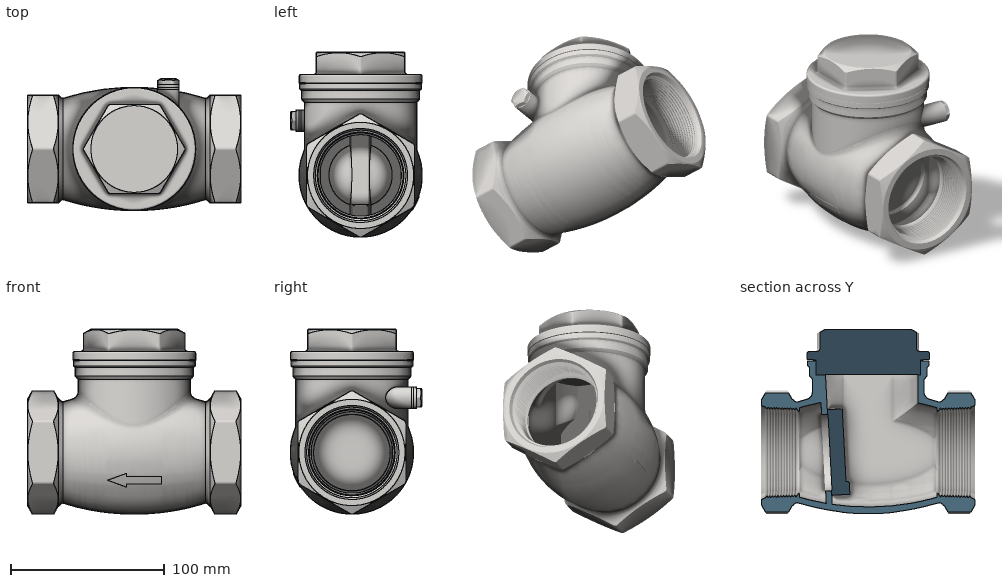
import cadquery as cq
import math


length = 139.1
end_x = length / 2
belly_r = 40.2
belly_edge_r = 33.0
belly_edge_x = 46.5

chamfer_angle = 30.0
end_hex_flats = 70.1
end_hex_length = 20.3
end_hex_corner_fillet = 2.1
end_face_dia = 69.1
end_root_fillet = 2.2

thread_pitch = 1.8
thread_turns = 12
thread_depth = 1.3
thread_mouth_r = 29.5
thread_taper = 1 / 32
mouth_r = 30.6
mouth_depth = 2.6
port_r = 26.5
port_length = 0.7

neck_r = 36.6
neck_bore_r = 65.0 / 2
neck_fillet = 4.7
collar_r = 38.5
collar_start_z = 47.6
collar_z = 49.7
rim_start_z = 55.4
rim_r = 39.8
rim_z = 56.3
rim_top_z = 59.8

seat_x = 25.0
seat_thickness = 4.2
seat_bore_r = 50.0 / 2
seat_lean = 3.0

chamber_start_x = mouth_depth + thread_turns * thread_pitch + port_length - end_x
chamber_r = 35.5
chamber_edge_r = 29.2
chamber_half_width = 28.2
chamber_edge_fillet = 2.1

gasket_thickness = 0.4
gasket_r = 72.0 / 2
spigot_r = 68.0 / 2
spigot_length = 9.7
cap_flange_r = 40.0
cap_flange_z = rim_top_z + gasket_thickness
cap_flange_thickness = 5.5
cap_flange_fillet = 1.4
cap_top_z = 80.3
cap_hex_flats = 57.7
cap_hex_corner_fillet = 1.7
cap_hex_root_fillet = 1.8
cap_face_dia = 56.5

plug_x = 22.3
plug_z = 35.6
plug_dia = 14.0
plug_shank_dia = 7.5
plug_shank_end_y = 27.8
boss_end_y = 38.7
washer_thickness = 1.4
plug_flange_thickness = 2.0
plug_end_y = 45.8
plug_hex_flats = 12.2
plug_hex_corner_fillet = 0.7
plug_face_dia = 9.7

flapper_r = 56.5 / 2
flapper_thickness = 4.2
flapper_face_x = seat_x - flapper_thickness
dome_r = 20.6
dome_height = 4.9
rib_foot_width = 13.6
rib_side_slope = 0.25
rib_height = 5.5
rib_edge_fillet = 0.8
lug_top_z = -19.3
lug_height = 7.7
lug_edge_fillet = 1.4

arrow_tip_x = -17.4
arrow_neck_x = -5.1
arrow_tail_x = 17.8
arrow_z = -18.1
arrow_head_width = 8.9
arrow_shaft_width = 5.0
arrow_raise = 0.4


def chamfer_run(rise):
    """Axial length of a chamfer cone whose radius grows by rise."""
    return rise * math.tan(math.radians(chamfer_angle))


def hex_prism(flats, height, corner_fillet):
    """Hexagon standing on XY with rounded corners, two of them on the X axis."""
    corner_dia = flats / math.cos(math.pi / 6)
    prism = cq.Workplane("XY").polygon(6, corner_dia).extrude(height)
    return prism.edges("|Z").fillet(corner_fillet)


def chamfer_envelope(face_dia, height, both_ends=False):
    """Solid of revolution about Z that trims the hexagon corners next to its faces."""
    face_r = face_dia / 2
    outer_r = 2 * face_r
    run = chamfer_run(outer_r - face_r)
    envelope = cq.Workplane("XY").circle(outer_r).extrude(height)
    cone = cq.Workplane("XZ").polyline([
        (face_r, height),
        (outer_r, height - run),
        (outer_r, height),
    ]).close().revolve(360, (0, 0, 0), (0, 1, 0))
    envelope = envelope.cut(cone)
    if both_ends:
        envelope = envelope.cut(cone.mirror("XY").translate((0, 0, height)))
    return envelope


def revolve_about_x(sketch):
    return sketch.revolve(360, (0, 0, 0), (1, 0, 0))


def at_both_ends(outlet_part):
    return [outlet_part, outlet_part.mirror("YZ")]


def belly():
    profile = (
        cq.Workplane("XY")
        .moveTo(-belly_edge_x, 0)
        .lineTo(-belly_edge_x, belly_edge_r)
        .threePointArc((0, belly_r), (belly_edge_x, belly_edge_r))
        .lineTo(belly_edge_x, 0)
        .close()
    )
    return revolve_about_x(profile)


def end_hex():
    """Hexagon at the -X end, with corners up and down."""
    prism = hex_prism(end_hex_flats, end_hex_length, end_hex_corner_fillet)
    prism = prism.intersect(chamfer_envelope(end_face_dia, end_hex_length, both_ends=True))
    return prism.rotate((0, 0, 0), (0, 1, 0), -90).translate((end_hex_length - end_x, 0, 0))


def end_collar():
    """Short flared collar that joins the hexagon to the belly."""
    hex_back_x = end_hex_length - end_x
    profile = (
        cq.Workplane("XY")
        .moveTo(hex_back_x, 0)
        .lineTo(hex_back_x, belly_edge_r + end_root_fillet)
        .radiusArc((-belly_edge_x, belly_edge_r), -2 * end_root_fillet)
        .lineTo(-belly_edge_x, 0)
        .close()
    )
    return revolve_about_x(profile)


def neck():
    points = [
        (0, 0),
        (neck_r, 0),
        (neck_r, collar_start_z),
        (collar_r, collar_z),
        (collar_r, rim_start_z),
        (rim_r, rim_z),
        (rim_r, rim_top_z),
        (0, rim_top_z),
    ]
    return cq.Workplane("XZ").polyline(points).close().revolve(360, (0, 0, 0), (0, 1, 0))


def thread_cutter():
    """Mouth chamfer, tapered rings of thread and plain port at the -X end."""
    start_x = -end_x + mouth_depth
    points = [(-end_x, 0), (-end_x, mouth_r)]
    for turn in range(thread_turns):
        root_r = thread_mouth_r - turn * thread_pitch * thread_taper
        x = start_x + turn * thread_pitch
        points.append((x, root_r))
        points.append((x + thread_pitch / 2, root_r - thread_depth))
    thread_end_x = start_x + thread_turns * thread_pitch
    points += [(thread_end_x, port_r), (chamber_start_x, port_r), (chamber_start_x, 0)]
    return revolve_about_x(cq.Workplane("XY").polyline(points).close())


def lean_with_seat(part):
    """Tilt a part about the point where the bore axis meets the seat."""
    return part.rotate((seat_x, 0, 0), (seat_x, 1, 0), seat_lean)


def chamber():
    """Hollow of the belly, flattened at its two sides."""
    profile = (
        cq.Workplane("XY")
        .moveTo(chamber_start_x, 0)
        .lineTo(chamber_start_x, chamber_edge_r)
        .threePointArc((0, chamber_r), (-chamber_start_x, chamber_edge_r))
        .lineTo(-chamber_start_x, 0)
        .close()
    )
    slab = cq.Workplane("XY").box(length, 2 * chamber_half_width, length)
    hollow = revolve_about_x(profile).intersect(slab)
    return hollow.faces("<Y or >Y").edges().fillet(chamber_edge_fillet)


def seat_web():
    """Wall across the chamber, with the hole that the flapper closes."""
    web = (
        cq.Workplane("YZ", origin=(seat_x, 0, 0))
        .circle(belly_r)
        .circle(seat_bore_r)
        .extrude(seat_thickness)
    )
    return lean_with_seat(web)


def neck_bore():
    """Hole under the cap: flat-sided and stopped by the seat below, round around the spigot."""
    bore = cq.Workplane("XY").circle(neck_bore_r).extrude(rim_top_z)
    outlet_side = cq.Workplane("XY").box(
        length, 2 * chamber_half_width, length, centered=(False, True, True)
    )
    bore = bore.intersect(lean_with_seat(outlet_side.translate((seat_x - length, 0, 0))))
    spigot_hole = (
        cq.Workplane("XY", origin=(0, 0, cap_flange_z - spigot_length))
        .circle(spigot_r)
        .extrude(spigot_length)
    )
    return bore.union(spigot_hole)


def plug_cylinder(dia, start_y, end_y):
    return (
        cq.Workplane("XZ", origin=(plug_x, start_y, plug_z)).circle(dia / 2).extrude(start_y - end_y)
    )


def flow_arrow():
    half_head = arrow_head_width / 2
    half_shaft = arrow_shaft_width / 2
    outline = [
        (arrow_tip_x, arrow_z),
        (arrow_neck_x, arrow_z + half_head),
        (arrow_neck_x, arrow_z + half_shaft),
        (arrow_tail_x, arrow_z + half_shaft),
        (arrow_tail_x, arrow_z - half_shaft),
        (arrow_neck_x, arrow_z - half_shaft),
        (arrow_neck_x, arrow_z - half_head),
    ]
    prism = cq.Workplane("XZ").polyline(outline).close().extrude(2 * belly_r)
    skin_r = belly_r + arrow_raise
    edge_r = belly_edge_r + arrow_raise
    skin = (
        cq.Workplane("XY")
        .moveTo(-belly_edge_x, 0)
        .lineTo(-belly_edge_x, edge_r)
        .threePointArc((0, skin_r), (belly_edge_x, edge_r))
        .lineTo(belly_edge_x, 0)
        .close()
    )
    return prism.intersect(revolve_about_x(skin))


def make_body():
    neck_seam = cq.selectors.BoxSelector(
        (-end_x, -belly_r, 1.4), (end_x, belly_r, collar_start_z - 1.4)
    )
    body = belly().union(neck()).edges(neck_seam).fillet(neck_fillet)
    for part in at_both_ends(end_hex().union(end_collar())):
        body = body.union(part)
    body = body.union(plug_cylinder(plug_dia, 0, boss_end_y)).union(flow_arrow())
    body = body.cut(chamber().cut(seat_web())).cut(neck_bore())
    for cutter in at_both_ends(thread_cutter()):
        body = body.cut(cutter)
    return body.cut(plug_cylinder(plug_shank_dia, plug_shank_end_y, boss_end_y))


def make_gasket():
    return (
        cq.Workplane("XY", origin=(0, 0, rim_top_z)).circle(gasket_r).circle(spigot_r).extrude(gasket_thickness)
    )


def make_cap():
    flange_top_z = cap_flange_z + cap_flange_thickness
    hex_height = cap_top_z - flange_top_z
    flange = (
        cq.Workplane("XY", origin=(0, 0, cap_flange_z))
        .circle(cap_flange_r)
        .extrude(cap_flange_thickness)
        .faces(">Z")
        .edges()
        .fillet(cap_flange_fillet)
    )
    head = hex_prism(cap_hex_flats, hex_height, cap_hex_corner_fillet).translate((0, 0, flange_top_z))
    head = head.intersect(chamfer_envelope(cap_face_dia, hex_height).translate((0, 0, flange_top_z)))
    cap = flange.union(head)
    flange_face = cap.faces(cq.selectors.NearestToPointSelector((0, 0, flange_top_z))).val()
    hex_root = flange_face.innerWires()[0].Edges()
    cap = cap.newObject(hex_root).fillet(cap_hex_root_fillet)
    spigot = (
        cq.Workplane("XY", origin=(0, 0, cap_flange_z - spigot_length)).circle(spigot_r).extrude(spigot_length)
    )
    return cap.union(spigot)


def make_washer():
    washer_end_y = boss_end_y + washer_thickness
    ring = plug_cylinder(plug_dia, boss_end_y, washer_end_y)
    return ring.cut(plug_cylinder(plug_shank_dia, boss_end_y, washer_end_y))


def make_plug():
    flange_start_y = boss_end_y + washer_thickness
    hex_start_y = flange_start_y + plug_flange_thickness
    hex_height = plug_end_y - hex_start_y
    head = hex_prism(plug_hex_flats, hex_height, plug_hex_corner_fillet)
    head = head.intersect(chamfer_envelope(plug_face_dia, hex_height))
    head = head.rotate((0, 0, 0), (1, 0, 0), -90).translate((plug_x, hex_start_y, plug_z))
    flange = plug_cylinder(plug_dia, flange_start_y, hex_start_y)
    shank = plug_cylinder(plug_shank_dia, plug_shank_end_y, flange_start_y)
    return head.union(flange).union(shank)


def rib_bar(height, edge_fillet, bottom_z, top_z):
    """Upright bar on the disc face, narrowing away from the disc, with its outer edges rounded."""
    foot_y = rib_foot_width / 2
    crown_y = foot_y - height * rib_side_slope
    bar = (
        cq.Workplane("XY", origin=(flapper_face_x, 0, bottom_z))
        .polyline([(0, -foot_y), (0, foot_y), (-height, crown_y), (-height, -crown_y)])
        .close()
        .extrude(top_z - bottom_z)
    )
    return bar.faces("<X").edges("|Z or >Z").fillet(edge_fillet)


def make_flapper():
    """Disc closed against the seat, with a dome and an upright rib on its outlet side."""
    plate = cq.Workplane("YZ", origin=(flapper_face_x, 0, 0)).circle(flapper_r).extrude(flapper_thickness)
    plate_column = (
        cq.Workplane("YZ", origin=(flapper_face_x - lug_height, 0, 0)).circle(flapper_r).extrude(lug_height)
    )
    dome_sphere_r = (dome_r ** 2 + dome_height ** 2) / (2 * dome_height)
    dome = revolve_about_x(
        cq.Workplane("XY")
        .moveTo(flapper_face_x, 0)
        .lineTo(flapper_face_x, dome_r)
        .radiusArc((flapper_face_x - dome_height, 0), -dome_sphere_r)
        .close()
    )
    bar_reach = flapper_r + rib_height
    rib = rib_bar(rib_height, rib_edge_fillet, -bar_reach, bar_reach)
    lug = rib_bar(lug_height, lug_edge_fillet, -bar_reach, lug_top_z)
    bars = rib.union(lug).intersect(plate_column)
    return lean_with_seat(plate.union(dome).union(bars))


body = make_body()
gasket = make_gasket()
cap = make_cap()
washer = make_washer()
plug = make_plug()
flapper = make_flapper()

bodies = [body, gasket, cap, washer, plug, flapper]

result = cq.Compound.makeCompound([part.solids().val() for part in bodies])